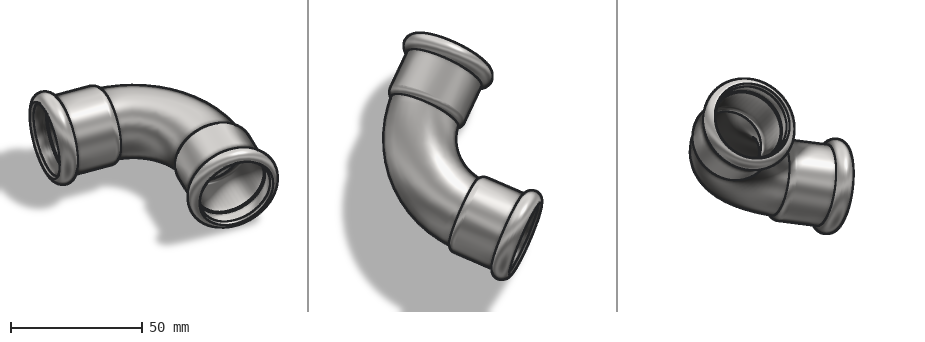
import cadquery as cq
import math

overall_length = 74.35
pipe_wall = 1.5

socket_radius = 31.4 / 2
socket_depth = 22.9
shoulder_radius = 3.3
socket_bore_radius = 14.0

bead_width = 7.3
bead_outer_radius = 36.65 / 2

mouth_radius = 15.2
seat_radius = 28.8 / 2
mouth_cone_depth = 1.3
seal_start = 1.85
seal_end = 5.05
seal_radius = 28.4 / 2
seat_end = 6.3
bore_start = 6.8

pipe_radius = 14.0
pipe_bore_radius = pipe_radius - pipe_wall

port_distance = overall_length - bead_outer_radius
bend_radius = port_distance - socket_depth
QUARTER_SINE = math.sqrt(0.5)


def add_shoulder(profile, start_radius, arc_radius):
    """Close a half profile with a quarter-round shoulder back to the axis."""
    middle = (
        start_radius - arc_radius * (1 - QUARTER_SINE),
        socket_depth + arc_radius * QUARTER_SINE,
    )
    end = (start_radius - arc_radius, socket_depth + arc_radius)
    return profile.threePointArc(middle, end).lineTo(0, end[1]).close()


def revolve_at_port(profile):
    """Revolve a radius-depth profile about Y and move its open end to the -Y port."""
    return profile.revolve(360, (0, 0), (0, 1)).translate((0, -port_distance, 0))


def socket_body():
    profile = (
        cq.Workplane("XY")
        .lineTo(mouth_radius, 0)
        .threePointArc((bead_outer_radius, bead_width / 2), (socket_radius, bead_width))
        .lineTo(socket_radius, socket_depth)
    )
    return revolve_at_port(add_shoulder(profile, socket_radius, shoulder_radius))


def socket_cavity():
    seal_middle = (seal_start + seal_end) / 2
    profile = (
        cq.Workplane("XY")
        .lineTo(mouth_radius, 0)
        .lineTo(seat_radius, mouth_cone_depth)
        .lineTo(seat_radius, seal_start)
        .threePointArc((seal_radius, seal_middle), (seat_radius, seal_end))
        .lineTo(seat_radius, seat_end)
        .lineTo(socket_bore_radius, bore_start)
        .lineTo(socket_bore_radius, socket_depth)
    )
    inner_arc_radius = shoulder_radius - pipe_wall
    return revolve_at_port(add_shoulder(profile, socket_bore_radius, inner_arc_radius))


def bend(radius):
    """Quarter-torus rod joining the inner ends of the two sockets."""
    return (
        cq.Workplane("XZ", origin=(0, -bend_radius, 0))
        .circle(radius)
        .revolve(90, (bend_radius, 0), (bend_radius, -1))
    )


def at_both_ports(shape):
    """Join a -Y port shape with a copy turned at the +X port."""
    other = shape.rotate((0, 0, 0), (0, 0, 1), 90)
    return shape.union(other)


outside = at_both_ports(socket_body()).union(bend(pipe_radius))
result = outside.cut(bend(pipe_bore_radius)).cut(at_both_ports(socket_cavity()))